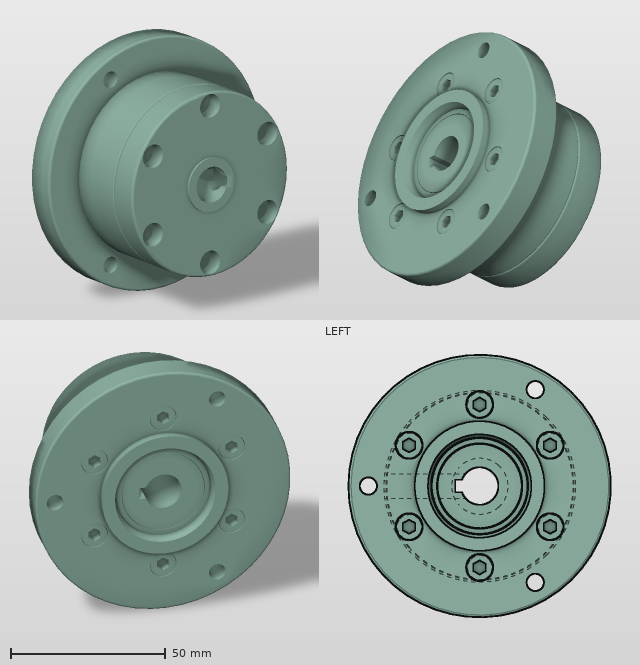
import cadquery as cq
import math

overall_length = 44.0
register_length = 3.0
flange_thickness = 10.0
sleeve_joint_x = 33.0
hub_tip_length = 0.85
sleeve_end_x = overall_length - hub_tip_length

flange_diameter = 85.0
sleeve_diameter = 62.05
register_diameter = 42.0
hub_tip_diameter = 18.2

edge_radius = 0.85
joint_edge_radius = 0.6

recess_mouth_diameter = 33.5
recess_floor_diameter = 31.45
recess_depth = register_length

ring_gap_width = 0.25
ring_gap_depth = 0.85
ring_gap_outer_diameters = (recess_floor_diameter, 27.7)

bore_diameter = 12.1
keyway_width = 4.0
keyway_reach = 7.8

mounting_hole_count = 3
mounting_hole_diameter = 5.5
mounting_circle_diameter = 72.0

screw_count = 6
screw_circle_diameter = 52.7
screw_pocket_diameter = 8.8
screw_head_diameter = 8.5
screw_pocket_depth = 5.1
screw_head_recess = 0.25
hex_across_flats = 4.0
hex_depth = 2.55

end_hole_diameter = 8.0
end_hole_depth = 5.6

set_screw_diameter = 8.0
set_screw_x = 37.8

flange_x = register_length
sleeve_x = flange_x + flange_thickness


def disc(start_x, end_x, diameter):
    """Solid cylinder on the X axis between two stations."""
    return cq.Workplane("YZ").workplane(offset=start_x).circle(diameter / 2).extrude(end_x - start_x)


def ring(start_x, end_x, outer_diameter, width):
    """Tube on the X axis with the given radial wall width."""
    bore = outer_diameter - 2 * width
    return disc(start_x, end_x, outer_diameter).cut(disc(start_x, end_x, bore))


def circle_points(count, diameter, start_angle):
    """(Y, Z) points evenly spaced on a circle, angles measured from +Y."""
    angles = [math.radians(start_angle + i * 360 / count) for i in range(count)]
    return [(diameter / 2 * math.cos(a), diameter / 2 * math.sin(a)) for a in angles]


def make_body():
    """Flange, two-part sleeve, register boss and hub tip."""
    register = disc(0, flange_x, register_diameter)
    flange = disc(flange_x, sleeve_x, flange_diameter).edges().fillet(edge_radius)
    sleeve = disc(sleeve_x, sleeve_joint_x, sleeve_diameter)
    sleeve = sleeve.edges("<X").fillet(edge_radius).edges(">X").fillet(joint_edge_radius)
    end_ring = disc(sleeve_joint_x, sleeve_end_x, sleeve_diameter)
    end_ring = end_ring.edges("<X").fillet(joint_edge_radius).edges(">X").fillet(edge_radius)
    hub_tip = disc(sleeve_end_x, overall_length, hub_tip_diameter)
    return register.union(flange).union(sleeve).union(end_ring).union(hub_tip)


def make_recess():
    """Tapered recess with the ring gaps in its floor."""
    recess = (
        cq.Workplane("YZ")
        .circle(recess_mouth_diameter / 2)
        .workplane(offset=recess_depth)
        .circle(recess_floor_diameter / 2)
        .loft()
    )
    for diameter in ring_gap_outer_diameters:
        recess = recess.union(ring(recess_depth, recess_depth + ring_gap_depth, diameter, ring_gap_width))
    return recess


def make_keyed_bore():
    """Through bore with a rectangular keyway."""
    keyway = cq.Workplane("XY").box(
        overall_length, keyway_reach, keyway_width, centered=(False, False, True)
    )
    return disc(0, overall_length, bore_diameter).union(keyway)


def make_mounting_holes():
    """Through holes in the flange."""
    points = circle_points(mounting_hole_count, mounting_circle_diameter, 0)
    plane = cq.Workplane("YZ").workplane(offset=flange_x)
    return plane.pushPoints(points).circle(mounting_hole_diameter / 2).extrude(flange_thickness)


def make_screw_pockets():
    """Empty space around the screw heads and inside their hex sockets."""
    head_x = flange_x + screw_head_recess
    points = circle_points(screw_count, screw_circle_diameter, 90)
    pockets = (
        cq.Workplane("YZ")
        .workplane(offset=flange_x)
        .pushPoints(points)
        .circle(screw_pocket_diameter / 2)
        .extrude(screw_pocket_depth)
    )
    head_plane = cq.Workplane("YZ").workplane(offset=head_x)
    heads = (
        head_plane.pushPoints(points)
        .circle(screw_head_diameter / 2)
        .extrude(screw_pocket_depth - screw_head_recess)
    )
    hex_corner_diameter = hex_across_flats / math.cos(math.pi / 6)
    sockets = (
        head_plane.transformed(rotate=(0, 0, 90))
        .pushPoints([(z, -y) for y, z in points])
        .polygon(6, hex_corner_diameter)
        .extrude(hex_depth)
    )
    return pockets.cut(heads).union(sockets)


def make_end_holes():
    """Blind holes in the sleeve end, in line with the flange screws."""
    points = circle_points(screw_count, screw_circle_diameter, 90)
    plane = cq.Workplane("YZ").workplane(offset=sleeve_end_x - end_hole_depth)
    return plane.pushPoints(points).circle(end_hole_diameter / 2).extrude(end_hole_depth)


def make_set_screw_hole():
    """Radial hole from the +Y side of the sleeve into the keyed bore."""
    plane = cq.Workplane("XZ", origin=(set_screw_x, 0, 0))
    return plane.circle(set_screw_diameter / 2).extrude(-sleeve_diameter / 2)


result = (
    make_body()
    .cut(make_recess())
    .cut(make_keyed_bore())
    .cut(make_mounting_holes())
    .cut(make_screw_pockets())
    .cut(make_end_holes())
    .cut(make_set_screw_hole())
)